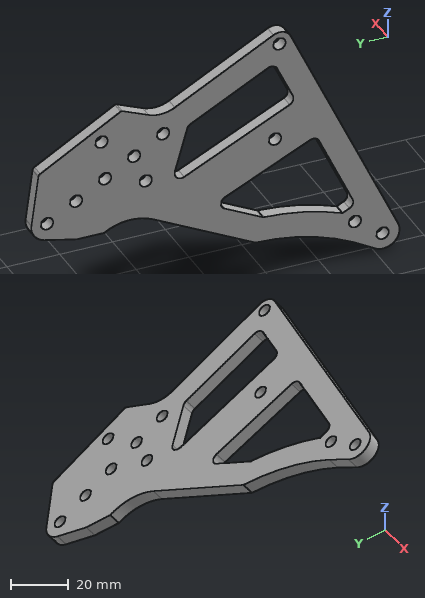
import cadquery as cq
import math

thickness = 5.0
length = 139.6
height = 97.6

plate_plane = cq.Plane(
    origin=(thickness / 2, length / 2, -height / 2),
    xDir=(0, -1, 0),
    normal=(-1, 0, 0),
)

hole_diameter = 4.6
tip_hole = (133.4, 6.3)
single_holes = [
    tip_hole,
    (122.9, 13.7),
    (94.3, 93.0),
    (92.6, 54.7),
    (43.6, 50.1),
    (26.8, 70.1),
]
row_start = (6.1, 42.2)
row_count = 5
row_pitch = 12.7
row_angle = math.radians(30)

head_top = (3.0, 62.7)
head_peak = (34.4, 80.9)
neck_valley = (49.7, 74.6)
upper_corner = (96.5, 99.6)
tip_corner = (147.6, -8.8)
lower_arc_end = (122.2, 5.5)
lower_arc_middle = (103.6, 12.3)
lower_arc_start = (85.2, 14.5)
belly_arc_end = (46.4, 33.8)
belly_arc_middle = (37.1, 35.8)
belly_arc_start = (27.8, 33.0)
belly_flat_start = (17.5, 33.0)
head_bottom = (-0.5, 37.0)

outline_rounding = [
    (head_top, 1.4),
    (head_peak, 0.7),
    (neck_valley, 11.7),
    (upper_corner, 4.9),
    (tip_corner, 6.3),
    (head_bottom, 6.3),
]

window_radius = 2.5
upper_window_corners = [(59.6, 68.4), (92.3, 85.5), (100.4, 68.4), (53.0, 45.7)]
lower_window_corners = [(68.8, 33.7), (108.2, 52.1), (123.0, 20.7)]
window_arc_start = (118.1, 18.3)
window_arc_middle = (106.0, 21.9)
window_arc_end = (88.1, 24.2)


def round_corner(body, corner, radius):
    """Fillet the edge that runs through the thickness at one corner."""
    middle = plate_plane.toWorldCoords((*corner, thickness / 2))
    edge = cq.selectors.NearestToPointSelector(middle.toTuple())
    return body.edges("|X").edges(edge).fillet(radius)


def make_plate():
    body = (
        cq.Workplane(plate_plane)
        .polyline([head_top, head_peak, neck_valley, upper_corner, tip_corner, lower_arc_end])
        .threePointArc(lower_arc_middle, lower_arc_start)
        .lineTo(*belly_arc_end)
        .threePointArc(belly_arc_middle, belly_arc_start)
        .lineTo(*belly_flat_start)
        .lineTo(*head_bottom)
        .close()
        .extrude(thickness)
    )
    for corner, radius in outline_rounding:
        body = round_corner(body, corner, radius)
    return body


def make_upper_window():
    body = cq.Workplane(plate_plane).polyline(upper_window_corners).close().extrude(thickness)
    return body.edges("|X").fillet(window_radius)


def make_lower_window():
    body = (
        cq.Workplane(plate_plane)
        .polyline([*lower_window_corners, window_arc_start])
        .threePointArc(window_arc_middle, window_arc_end)
        .close()
        .extrude(thickness)
    )
    for corner in lower_window_corners:
        body = round_corner(body, corner, window_radius)
    return body


def make_holes():
    row_holes = [
        (
            row_start[0] + i * row_pitch * math.cos(row_angle),
            row_start[1] + i * row_pitch * math.sin(row_angle),
        )
        for i in range(row_count)
    ]
    return (
        cq.Workplane(plate_plane)
        .pushPoints(single_holes + row_holes)
        .circle(hole_diameter / 2)
        .extrude(thickness)
    )


result = make_plate().cut(make_upper_window()).cut(make_lower_window()).cut(make_holes())